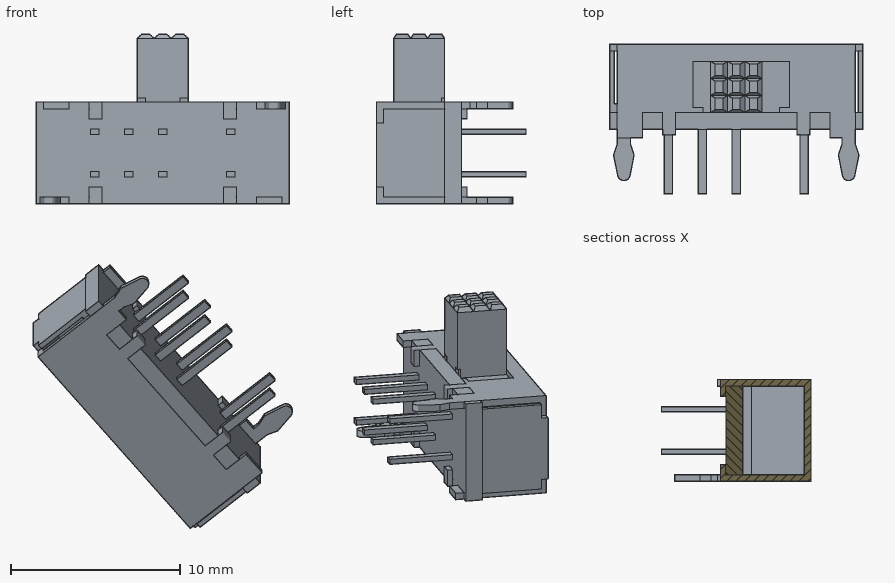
import cadquery as cq


body_length = 14.9
body_height = 6.0
body_depth = 5.0
base_depth = 1.0

sheet = 0.4
side_sheet = 0.28
plate_half_length = 7.02
bend_radius = 0.05
ear_top = 1.77
ear_bottom = -2.01

tab_inner_x = 5.51
tab_reach = 0.5
leg_neck_half = 0.4
leg_bulge_half = 0.61
leg_tip_half = 0.37
leg_neck_y = -0.9
leg_bulge_y = -1.52
leg_arc_y = -2.71
leg_tip_y = -3.02

finger_x = 3.95
finger_width = 0.76
finger_sheet = 0.33
finger_drop = 1.0

window_left = -2.53
window_right = 3.15
window_neck_left = -1.97
window_neck_right = 2.53
window_step = 0.27

pin_pitch = 2.0
pin_columns = (-2, -1, 0, 2)
pin_row_z = 1.25
pin_width = 0.5
pin_thickness = 0.31
pin_length = 3.8

pad_length = 0.5

knob_length = 3.01
knob_depth = 3.0
knob_height = 4.0
cells = 3
cell_height = 0.25
cell_taper_x = 0.27
cell_taper_y = 0.16
notch_width = 0.48
notch_depth = 0.2
notch_height = 0.24
foot_recess = 0.3

half_length = body_length / 2
half_height = body_height / 2
inner_half_height = half_height - sheet
inner_back = body_depth - sheet
knob_back = base_depth + knob_depth
leg_x = plate_half_length - leg_neck_half
cell_length = knob_length / cells
cell_depth = knob_depth / cells


def block(x0, x1, y0, y1, z0, z1):
    """Box between two opposite corners."""
    return cq.Workplane("XY").box(x1 - x0, y1 - y0, z1 - z0, centered=False).translate((x0, y0, z0))


def upside_down(shape):
    """Shape turned half a turn about the Y axis, swapping top and bottom."""
    return shape.rotate((0, 0, 0), (0, 1, 0), 180)


def make_leg():
    """Barbed board-lock leg at the right end of the top plate."""
    return (
        cq.Workplane("XY", origin=(leg_x, 0, inner_half_height))
        .moveTo(-leg_neck_half, 0)
        .lineTo(-leg_neck_half, leg_neck_y)
        .lineTo(-leg_bulge_half, leg_bulge_y)
        .lineTo(-leg_tip_half, leg_arc_y)
        .threePointArc((0, leg_tip_y), (leg_tip_half, leg_arc_y))
        .lineTo(leg_bulge_half, leg_bulge_y)
        .lineTo(leg_neck_half, leg_neck_y)
        .lineTo(leg_neck_half, 0)
        .close()
        .extrude(sheet)
    )


def make_front_tabs():
    """Tabs and fingers by which the top plate holds the base."""
    left_tab = block(-plate_half_length, -tab_inner_x, -tab_reach, base_depth, inner_half_height, half_height)
    tabs = left_tab.union(left_tab.mirror("YZ")).union(make_leg())
    for x in (-finger_x, finger_x):
        x0 = x - finger_width / 2
        x1 = x + finger_width / 2
        strip = block(x0, x1, -finger_sheet, base_depth, inner_half_height, half_height)
        hook = block(x0, x1, -finger_sheet, 0, half_height - finger_drop, half_height)
        finger = strip.union(hook)
        tabs = tabs.union(finger.edges("|X and >Z and <Y").fillet(bend_radius))
    return tabs


def window_filling(top_z):
    """Solid with the outline of the window, from the underside of the top plate up to top_z."""
    step_y = base_depth + window_step
    main = block(window_left, window_right, step_y, knob_back, inner_half_height, top_z)
    neck = block(window_neck_left, window_neck_right, base_depth, step_y, inner_half_height, top_z)
    return main.union(neck)


def make_shell():
    """Sheet channel with end panels, wrapped around the base."""
    channel = block(
        -plate_half_length, plate_half_length, base_depth, body_depth, -half_height, half_height
    )
    channel = channel.edges("|X and >Y").fillet(bend_radius)
    channel = channel.cut(
        block(-half_length, half_length, base_depth, inner_back, -inner_half_height, inner_half_height)
    )

    ears = block(-half_length, half_length, inner_back, body_depth, ear_bottom, ear_top)
    ears = ears.edges("|X and >Y").fillet(bend_radius)
    shell = channel.union(ears)

    panel_inner_x = side_sheet - half_length
    panel = block(
        -half_length, panel_inner_x, base_depth, inner_back, -inner_half_height, inner_half_height
    )
    pad = block(
        panel_inner_x,
        -plate_half_length,
        base_depth,
        base_depth + pad_length,
        -inner_half_height,
        inner_half_height,
    )
    shell = shell.union(panel).union(pad).union(panel.mirror("YZ"))

    front_tabs = make_front_tabs()
    shell = shell.union(front_tabs).union(upside_down(front_tabs))

    return shell.cut(window_filling(half_height))


def make_base(shell):
    """Insulating front plate with its terminals, recessed where the shell grips it."""
    base = block(-half_length, half_length, 0, base_depth, -half_height, half_height)
    for column in pin_columns:
        for z in (-pin_row_z, pin_row_z):
            x = column * pin_pitch
            pin = block(
                x - pin_width / 2,
                x + pin_width / 2,
                -pin_length,
                0,
                z - pin_thickness / 2,
                z + pin_thickness / 2,
            )
            base = base.union(pin)
    return base.cut(shell)


def make_grip_cell(x, y, z):
    """Truncated pyramid on top of the knob, centred at x, y with its base at z."""
    return (
        cq.Workplane("XY", origin=(x, y, z))
        .rect(cell_length, cell_depth)
        .workplane(offset=cell_height)
        .rect(cell_length - 2 * cell_taper_x, cell_depth - 2 * cell_taper_y)
        .loft(ruled=True)
    )


def make_slider():
    """Knob with a gripping top, rising from a foot that fills the lower part of the window."""
    half_knob = knob_length / 2
    grip_z = half_height + knob_height - cell_height
    foot_z = half_height - foot_recess
    slider = block(-half_knob, half_knob, base_depth, knob_back, foot_z, grip_z)

    notch = block(
        -half_knob,
        notch_width - half_knob,
        base_depth,
        base_depth + notch_depth,
        foot_z,
        half_height + notch_height,
    )
    slider = slider.cut(notch).cut(notch.mirror("YZ"))

    for column in range(cells):
        for row in range(cells):
            x = (column + 0.5) * cell_length - half_knob
            y = base_depth + (row + 0.5) * cell_depth
            slider = slider.union(make_grip_cell(x, y, grip_z))

    return slider.union(window_filling(foot_z))


shell = make_shell()
base = make_base(shell)
slider = make_slider()

result = cq.Compound.makeCompound([shell.val(), base.val(), slider.val()])